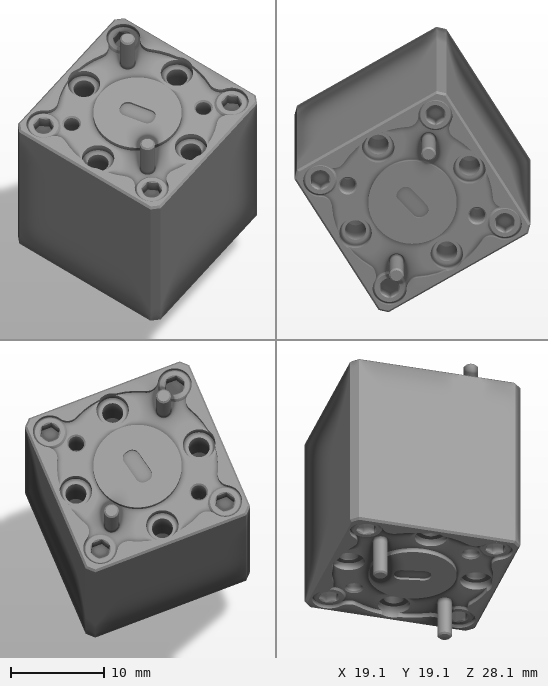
import cadquery as cq
import math

SIDE = 19.05
TOTAL_HEIGHT = 28.1
PIN_LENGTH = 3.9
BLOCK_HEIGHT = TOTAL_HEIGHT - 2 * PIN_LENGTH
FACE_Z = BLOCK_HEIGHT / 2
CORNER_CHAMFER = 0.8
RIM_CHAMFER = 0.22

RECESS_DEPTH = 0.5
RECESS_RADIUS = 8.65
RECESS_FILLET = 1.26
FLOOR_Z = FACE_Z - RECESS_DEPTH
BOSS_RADIUS = 4.75

OPENING_LENGTH = 4.02
OPENING_WIDTH = 1.88
OPENING_CORNER = 0.81
OPENING_DEPTH = 0.25
OPENING_TILT = 11.2

SCREW_OFFSET = 7.22
SCREW_RADIUS = 1.83
SCREW_CHAMFER = 0.22
SOCKET_FLATS = 1.95
SOCKET_RADIUS = SOCKET_FLATS / math.sqrt(3)
SOCKET_DEPTH = 1.4
SOCKET_TURN = 30.0

BOLT_CIRCLE_RADIUS = 7.13
BOLT_RADIUS = 1.12
BOLT_DEPTH = 4.5
COUNTERBORE_RADIUS = 1.75
COUNTERBORE_DEPTH = 0.87

PIN_OFFSET = 5.05
PIN_RADIUS = 0.8
PIN_CHAMFER = 0.17
PIN_SEAT_CHAMFER = 0.1
PIN_ROOT_DEPTH = 1.69
PIN_HOLE_RADIUS = 0.85
PIN_HOLE_CHAMFER = 0.17
PIN_HOLE_DEPTH = 4.2

DRILL_POINT_ANGLE = 118.0
SIGN_PAIRS = [(-1, -1), (-1, 1), (1, -1), (1, 1)]
SCREW_POINTS = [(sx * SCREW_OFFSET, sy * SCREW_OFFSET) for sx, sy in SIGN_PAIRS]
BOLT_POINTS = [
    (BOLT_CIRCLE_RADIUS, 0),
    (-BOLT_CIRCLE_RADIUS, 0),
    (0, BOLT_CIRCLE_RADIUS),
    (0, -BOLT_CIRCLE_RADIUS),
]
PIN_POINTS = [(-PIN_OFFSET, PIN_OFFSET), (PIN_OFFSET, -PIN_OFFSET)]
PIN_HOLE_POINTS = [(PIN_OFFSET, PIN_OFFSET), (-PIN_OFFSET, -PIN_OFFSET)]


def cylinders(points, radius, bottom, height):
    return cq.Workplane("XY").workplane(offset=bottom).pushPoints(points).circle(radius).extrude(height)


def turned(profile, points):
    """Revolve a closed (radius, z) profile and copy it to each point."""
    shape = cq.Workplane("XZ").polyline(profile).close().revolve(360, (0, 0), (0, 1)).val()
    return cq.Workplane("XY").pushPoints(points).eachpoint(lambda place: shape.moved(place))


def drilled(points, radius, top, depth, mouth_chamfer=0):
    """Blind holes with a conical drill point and an optional chamfered mouth."""
    point_depth = radius / math.tan(math.radians(DRILL_POINT_ANGLE / 2))
    profile = [(0, top - depth - point_depth), (radius, top - depth)]
    if mouth_chamfer:
        profile.append((radius, top - mouth_chamfer))
    profile += [(radius + mouth_chamfer, top), (0, top)]
    return turned(profile, points)


def at_both_ends(feature):
    """The feature on the upper end together with its half-turn copy on the lower end."""
    return feature.union(feature.rotate((0, 0, 0), (1, 0, 0), 180))


def make_block():
    block = cq.Workplane("XY").box(SIDE, SIDE, BLOCK_HEIGHT)
    block = block.edges("|Z").chamfer(CORNER_CHAMFER)
    return block.faces("<Z or >Z").chamfer(RIM_CHAMFER)


def make_recess():
    """Round pocket blended into four corner lobes, leaving the boss standing."""

    def is_joint(edge):
        """True where a lobe meets the pocket wall, not at the seam of a round wall."""
        middle = edge.Center()
        on_pocket_wall = math.isclose(math.hypot(middle.x, middle.y), RECESS_RADIUS, rel_tol=1e-5)
        return on_pocket_wall and abs(middle.y) > SCREW_RADIUS

    pocket = cylinders([(0, 0)], RECESS_RADIUS, FLOOR_Z, RECESS_DEPTH)
    pocket = pocket.union(cylinders(SCREW_POINTS, SCREW_RADIUS, FLOOR_Z, RECESS_DEPTH))
    pocket = pocket.edges("|Z").filter(is_joint).fillet(RECESS_FILLET)
    return pocket.cut(cylinders([(0, 0)], BOSS_RADIUS, FLOOR_Z, RECESS_DEPTH))


def make_opening():
    opening = cq.Workplane("XY").box(
        OPENING_LENGTH, OPENING_WIDTH, OPENING_DEPTH, centered=(True, True, False)
    )
    opening = opening.edges("|Z").fillet(OPENING_CORNER)
    return opening.rotate((0, 0, 0), (0, 0, 1), OPENING_TILT).translate((0, 0, FACE_Z - OPENING_DEPTH))


def make_screw_heads():
    """Chamfered rims of the screw heads, standing just above the recess floor."""
    top = FLOOR_Z + SCREW_CHAMFER
    rim = [(0, FLOOR_Z), (SCREW_RADIUS, FLOOR_Z), (SCREW_RADIUS - SCREW_CHAMFER, top), (0, top)]
    return turned(rim, SCREW_POINTS)


def make_sockets():
    """Hexagonal sockets with a conical lead-in."""
    top = FLOOR_Z + SCREW_CHAMFER
    hexagon = cq.Workplane("XY").polygon(6, 2 * SOCKET_RADIUS).extrude(-SOCKET_DEPTH)
    hexagon = hexagon.rotate((0, 0, 0), (0, 0, 1), SOCKET_TURN).translate((0, 0, top)).val()
    sockets = cq.Workplane("XY").pushPoints(SCREW_POINTS).eachpoint(lambda place: hexagon.moved(place))
    lead_in = [(0, top - SOCKET_RADIUS), (SOCKET_RADIUS, top), (0, top)]
    return sockets.union(turned(lead_in, SCREW_POINTS))


def make_pins():
    """Alignment pins with chamfered tips, rooted below their countersunk seats."""
    root_z = FLOOR_Z - PIN_ROOT_DEPTH
    pins = cylinders(PIN_POINTS, PIN_RADIUS, root_z, TOTAL_HEIGHT / 2 - root_z)
    return pins.faces(">Z").chamfer(PIN_CHAMFER)


def make_pin_seats():
    """Shallow conical countersinks, later filled by the pins."""
    apex_z = FLOOR_Z - PIN_SEAT_CHAMFER - PIN_RADIUS
    cone = [(0, apex_z), (PIN_RADIUS + PIN_SEAT_CHAMFER, FLOOR_Z), (0, FLOOR_Z)]
    return turned(cone, PIN_POINTS)


def make_bolt_holes():
    holes = drilled(BOLT_POINTS, BOLT_RADIUS, FLOOR_Z - COUNTERBORE_DEPTH, BOLT_DEPTH)
    counterbore_height = COUNTERBORE_DEPTH + RECESS_DEPTH
    return holes.union(
        cylinders(BOLT_POINTS, COUNTERBORE_RADIUS, FLOOR_Z - COUNTERBORE_DEPTH, counterbore_height)
    )


def make_pin_holes():
    return drilled(PIN_HOLE_POINTS, PIN_HOLE_RADIUS, FLOOR_Z, PIN_HOLE_DEPTH, PIN_HOLE_CHAMFER)


result = make_block()
result = result.cut(at_both_ends(make_recess()))
result = result.cut(at_both_ends(make_opening()))
result = result.cut(at_both_ends(make_bolt_holes()))
result = result.cut(at_both_ends(make_pin_holes()))
result = result.cut(at_both_ends(make_pin_seats()))
result = result.union(at_both_ends(make_screw_heads()))
result = result.cut(at_both_ends(make_sockets()))
result = result.union(at_both_ends(make_pins()))